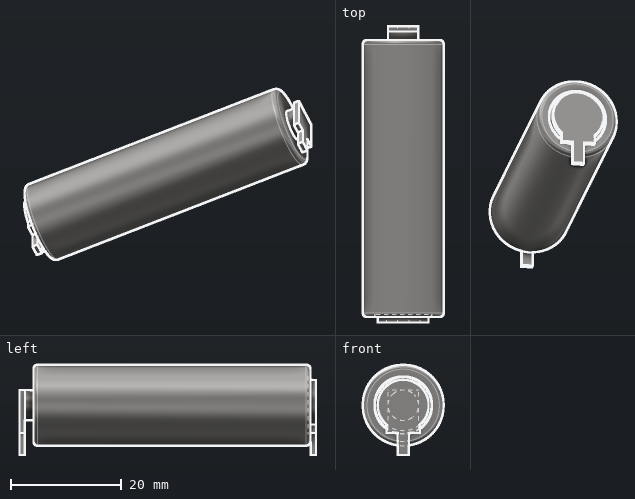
import cadquery as cq


cell_diameter = 14.65
cell_length = 50.0
cell_edge_radius = 0.8

contact_bore_diameter = 10.43
contact_flat_diameter = 9.2
contact_edge_radius = 0.5
contact_diameter = contact_flat_diameter + 2 * contact_edge_radius
contact_gap_depth = contact_edge_radius

nub_diameter = 5.5
nub_length = 1.5

tab_thickness = 1.0
tab_shoulder_drop = 5.0
tab_tip_drop = 8.995
leg_width = 2.0
negative_shoulder_width = 6.0
positive_plate_width = nub_diameter


def cylinder(diameter, y_start, length):
    """Solid cylinder on the cell axis, running toward +Y from y_start."""
    return (
        cq.Workplane("XZ", origin=(0, y_start, 0))
        .circle(diameter / 2)
        .extrude(-length)
    )


def plate(width, z_bottom, z_top, y_start):
    """Flat plate of tab thickness, centred on X."""
    return (
        cq.Workplane("XY")
        .box(width, tab_thickness, z_top - z_bottom, centered=(True, False, False))
        .translate((0, y_start, z_bottom))
    )


def make_cell():
    body = cylinder(cell_diameter, 0, cell_length).edges().fillet(cell_edge_radius)
    bore = cylinder(contact_bore_diameter, 0, contact_gap_depth)
    contact = cylinder(contact_diameter, 0, 2 * contact_gap_depth)
    contact = contact.edges("<Y").fillet(contact_edge_radius)
    nub = cylinder(nub_diameter, cell_length, nub_length)
    return body.cut(bore).union(contact).union(nub)


def make_leg(y_start):
    return plate(leg_width, -tab_tip_drop, 0, y_start)


def make_negative_tab():
    y_start = -tab_thickness
    disc = cylinder(contact_flat_diameter, y_start, tab_thickness)
    shoulder = plate(negative_shoulder_width, -tab_shoulder_drop, 0, y_start)
    return disc.union(shoulder).union(make_leg(y_start))


def make_positive_tab():
    y_start = cell_length + nub_length
    shoulder = plate(positive_plate_width, -tab_shoulder_drop, nub_diameter / 2, y_start)
    return shoulder.union(make_leg(y_start))


result = make_cell().union(make_negative_tab()).union(make_positive_tab())